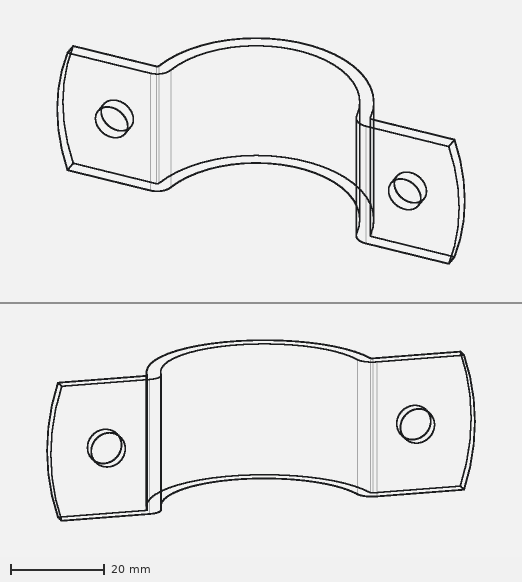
import cadquery as cq
import math

length = 94.7
width = 30.0
depth = 24.2
thickness = 3.0
outer_radius = 25.3
small_bend_radius = 0.5
hole_diameter = 7.6
hole_spacing = 69.0

half_length = length / 2
inner_radius = outer_radius - thickness
saddle_center_y = depth - outer_radius

large_bend_radius = small_bend_radius + thickness
bend_center_distance = outer_radius + small_bend_radius
bend_center_y = thickness + small_bend_radius
saddle_end_angle = math.asin((bend_center_y - saddle_center_y) / bend_center_distance)
bend_center_x = bend_center_distance * math.cos(saddle_end_angle)

bend_mid_angle = (math.pi / 2 + saddle_end_angle) / 2


def saddle_end(radius):
    """Right-hand end of a saddle arc of the given radius."""
    return (
        radius * math.cos(saddle_end_angle),
        saddle_center_y + radius * math.sin(saddle_end_angle),
    )


def bend_middle(radius):
    """Middle point of a right-hand bend arc of the given radius."""
    return (
        bend_center_x - radius * math.cos(bend_mid_angle),
        bend_center_y - radius * math.sin(bend_mid_angle),
    )


def mirrored(point):
    """Matching point on the left-hand side."""
    return (-point[0], point[1])


def make_strap():
    """Bent sheet profile in XY, extruded symmetrically along Z."""
    inner_end = saddle_end(inner_radius)
    outer_end = saddle_end(outer_radius)
    large_middle = bend_middle(large_bend_radius)
    small_middle = bend_middle(small_bend_radius)
    return (
        cq.Workplane("XY")
        .moveTo(-half_length, 0)
        .lineTo(-bend_center_x, 0)
        .threePointArc(mirrored(large_middle), mirrored(inner_end))
        .threePointArc((0, depth - thickness), inner_end)
        .threePointArc(large_middle, (bend_center_x, 0))
        .lineTo(half_length, 0)
        .lineTo(half_length, thickness)
        .lineTo(bend_center_x, thickness)
        .threePointArc(small_middle, outer_end)
        .threePointArc((0, depth), mirrored(outer_end))
        .threePointArc(mirrored(small_middle), (-bend_center_x, thickness))
        .lineTo(-half_length, thickness)
        .close()
        .extrude(width / 2, both=True)
    )


def make_end_rounding():
    """Disc along Y whose rim rounds both flange ends."""
    return cq.Workplane("XZ").circle(half_length).extrude(-depth)


def make_holes():
    """Screw holes through both flanges."""
    return (
        cq.Workplane("XZ")
        .pushPoints([(side * hole_spacing / 2, 0) for side in (-1, 1)])
        .circle(hole_diameter / 2)
        .extrude(-thickness)
    )


result = make_strap().intersect(make_end_rounding()).cut(make_holes())